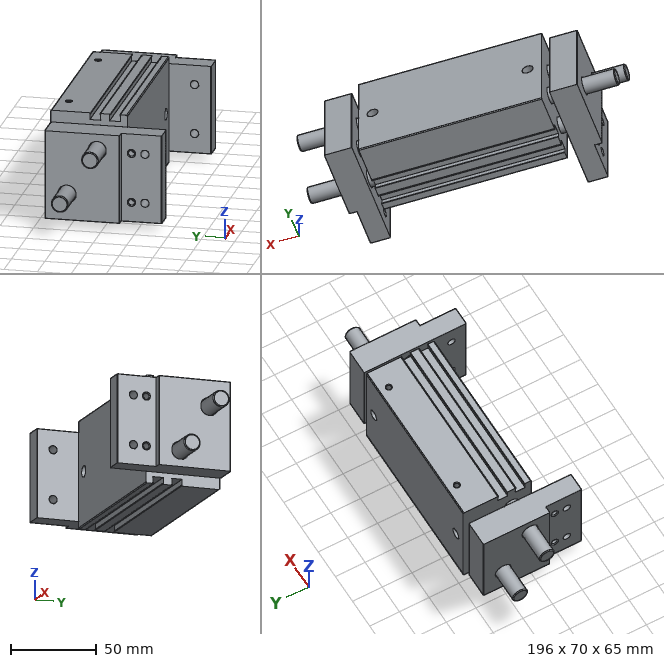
import cadquery as cq

TOTAL_LENGTH = 196.0
TOTAL_DEPTH = 70.0

HOUSING_LENGTH = 112.9
HOUSING_DEPTH = 45.9
HOUSING_HEIGHT = 65.0
HOUSING_CHAMFER = 0.5
HOUSING_END_X = HOUSING_LENGTH / 2
HOUSING_TOP_Z = HOUSING_HEIGHT / 2

SLOT_WIDTH = 6.5
SLOT_DEPTH = 4.1
SLOT_LIP = 0.4
SLOT_LIP_THICKNESS = 0.5
SLOT_CENTRES_Y = (-3.7, -15.5)

MOUNT_HOLE_DIAMETER = 6.7
MOUNT_HOLE_X = 47.8

PORT_DIAMETER = 3.1
PORT_MOUTH_DIAMETER = 4.1
PORT_DEPTH = 5.9
PORT_Y = 16.3
PORT_CENTRES_X = (-37.5, 41.7)

PLATE_INNER_X = 61.0
PLATE_THICKNESS = 17.0
PLATE_HEIGHT = 53.7
PLATE_CHAMFER = 0.4
PLATE_SETBACK = 1.2
STEP_DEPTH = 4.7
PLATE_OUTER_X = PLATE_INNER_X + PLATE_THICKNESS
STEP_X = PLATE_OUTER_X - STEP_DEPTH
STEP_Y = -HOUSING_DEPTH / 2
PLATE_BACK_Y = HOUSING_DEPTH / 2 - PLATE_SETBACK
PLATE_FRONT_Y = HOUSING_DEPTH / 2 - TOTAL_DEPTH

FINGER_HOLE_Z = 15.0
THROUGH_HOLE_DIAMETER = 4.9
THROUGH_HOLE_Y = -37.0
BLIND_HOLE_DIAMETER = 3.7
BLIND_HOLE_MOUTH_DIAMETER = 4.9
BLIND_HOLE_Y = -29.0
BLIND_HOLE_DEPTH = 7.8
DRILL_TIP_DEPTH = 1.4

ROD_DIAMETER = 10.0
ROD_CHAMFER = 0.5
ROD_CLEARANCE_DIAMETER = 10.8
ROD_PLACES = ((-9.6, 17.0), (8.5, -11.0))


def cylinder_along_x(y, z, start_x, end_x, diameter):
    """Cylinder along X between two X positions."""
    return (
        cq.Workplane("YZ", origin=(start_x, y, z))
        .circle(diameter / 2)
        .extrude(end_x - start_x)
    )


def turned_about_y(shape):
    """Copy turned 180 degrees about the Y axis."""
    return shape.rotate((0, 0, 0), (0, 1, 0), 180)


def slot_cutter(y):
    """Undercut slot with its mouth in the top face of the housing."""
    cavity_height = SLOT_DEPTH - SLOT_LIP_THICKNESS
    floor = cq.Workplane("XY", origin=(0, y, HOUSING_TOP_Z - SLOT_DEPTH))
    cavity = floor.rect(HOUSING_LENGTH, SLOT_WIDTH).extrude(cavity_height)
    mouth = floor.rect(HOUSING_LENGTH, SLOT_WIDTH - 2 * SLOT_LIP).extrude(SLOT_DEPTH)
    return cavity.union(mouth)


def mount_hole_cutter():
    """Both mounting holes."""
    return (
        cq.Workplane("XZ")
        .pushPoints([(-MOUNT_HOLE_X, 0), (MOUNT_HOLE_X, 0)])
        .circle(MOUNT_HOLE_DIAMETER / 2)
        .extrude(HOUSING_DEPTH / 2, both=True)
    )


def port_cutter(x):
    """Flat-bottomed port with a 45 degree countersunk mouth."""
    radius = PORT_DIAMETER / 2
    mouth_radius = PORT_MOUTH_DIAMETER / 2
    profile = [
        (0, 0),
        (mouth_radius, 0),
        (radius, radius - mouth_radius),
        (radius, -PORT_DEPTH),
        (0, -PORT_DEPTH),
    ]
    return (
        cq.Workplane("XZ", origin=(x, PORT_Y, HOUSING_TOP_Z))
        .polyline(profile)
        .close()
        .revolve(360, (0, 0), (0, 1))
    )


def make_housing():
    """Block with slots, mounting holes, air ports and four rod bores."""
    housing = (
        cq.Workplane("XY")
        .box(HOUSING_LENGTH, HOUSING_DEPTH, HOUSING_HEIGHT)
        .edges("|X")
        .chamfer(HOUSING_CHAMFER)
    )
    for y in SLOT_CENTRES_Y:
        slot = slot_cutter(y)
        housing = housing.cut(slot).cut(slot.mirror("XY"))

    housing = housing.cut(mount_hole_cutter())

    for x in PORT_CENTRES_X:
        housing = housing.cut(port_cutter(x))

    for y, z in ROD_PLACES:
        bore = cylinder_along_x(y, z, -HOUSING_END_X, HOUSING_END_X, ROD_DIAMETER)
        housing = housing.cut(bore).cut(turned_about_y(bore))
    return housing


def blind_hole_cutter(z):
    """Countersunk hole drilled from the stepped face, ending in a cone."""
    radius = BLIND_HOLE_DIAMETER / 2
    mouth_radius = BLIND_HOLE_MOUTH_DIAMETER / 2
    countersink_x = STEP_X - (mouth_radius - radius)
    bottom_x = STEP_X - BLIND_HOLE_DEPTH
    profile = [
        (STEP_X, 0),
        (STEP_X, mouth_radius),
        (countersink_x, radius),
        (bottom_x, radius),
        (bottom_x - DRILL_TIP_DEPTH, 0),
    ]
    return (
        cq.Workplane("XY", origin=(0, BLIND_HOLE_Y, z))
        .polyline(profile)
        .close()
        .revolve(360, (0, 0), (1, 0))
    )


def make_finger_plate():
    """Stepped plate at the +X end with its finger holes and rod clearances."""
    outline = [
        (PLATE_INNER_X, PLATE_BACK_Y),
        (PLATE_OUTER_X, PLATE_BACK_Y),
        (PLATE_OUTER_X, STEP_Y),
        (STEP_X, STEP_Y),
        (STEP_X, PLATE_FRONT_Y),
        (PLATE_INNER_X, PLATE_FRONT_Y),
    ]
    plate = (
        cq.Workplane("XY")
        .polyline(outline)
        .close()
        .extrude(PLATE_HEIGHT / 2, both=True)
        .edges("|Z and (<X or >X or <Y)")
        .chamfer(PLATE_CHAMFER)
    )
    for z in (-FINGER_HOLE_Z, FINGER_HOLE_Z):
        through_hole = cylinder_along_x(THROUGH_HOLE_Y, z, PLATE_INNER_X, STEP_X, THROUGH_HOLE_DIAMETER)
        plate = plate.cut(through_hole).cut(blind_hole_cutter(z))

    for y, z in ROD_PLACES:
        clearance = cylinder_along_x(y, -z, PLATE_INNER_X, PLATE_OUTER_X, ROD_CLEARANCE_DIAMETER)
        plate = plate.cut(clearance)
    return plate


def make_finger():
    """Finger at the +X end, with its two rods reaching out past the -X end."""
    finger = make_finger_plate()
    for y, z in ROD_PLACES:
        rod = cylinder_along_x(y, z, -TOTAL_LENGTH / 2, PLATE_INNER_X, ROD_DIAMETER)
        rod = rod.faces("<X").chamfer(ROD_CHAMFER)
        finger = finger.union(rod)
    return finger


housing = make_housing()
right_finger = make_finger()
left_finger = turned_about_y(right_finger)

bodies = [housing, right_finger, left_finger]
result = cq.Compound.makeCompound([body.solids().val() for body in bodies])